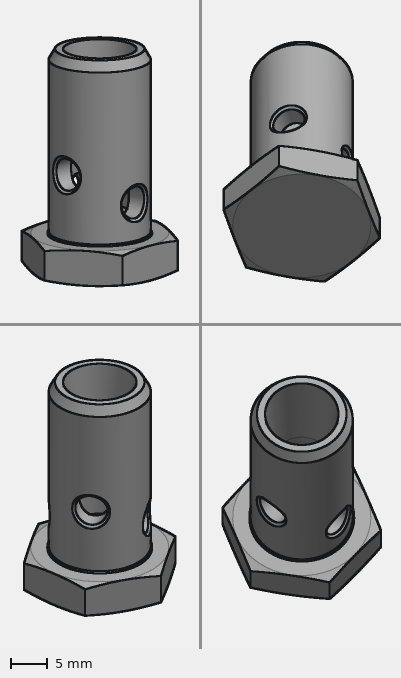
import cadquery as cq
import math

total_height = 31.0

across_flats = 19.0
across_corners = across_flats / math.cos(math.radians(30))
head_height = 5.0
head_chamfer_angle = 15.0
head_face_diameter = 18.85

shank_diameter = 13.95
tip_diameter = 12.2
tip_chamfer_height = 1.5
base_collar_diameter = 14.32
base_collar_height = 0.25

mouth_diameter = 10.0
bore_diameter = 8.0
taper_depth = 12.0
bore_floor_height = 8.0
drill_point_angle = 120.0

cross_hole_diameter = 4.5
cross_hole_chamfer = 0.4
x_hole_height = 10.5
y_hole_height = 14.5


def make_head():
    """Hexagon with corners on Y, both faces chamfered by a shallow cone."""
    hexagon = cq.Workplane("XY").polygon(6, across_corners).extrude(head_height)
    hexagon = hexagon.rotate((0, 0, 0), (0, 0, 1), 90)
    face_radius = head_face_diameter / 2
    rim_radius = across_corners / 2
    corner_drop = (rim_radius - face_radius) * math.tan(math.radians(head_chamfer_angle))
    envelope = (
        cq.Workplane("XZ")
        .moveTo(0, 0)
        .lineTo(face_radius, 0)
        .lineTo(rim_radius, corner_drop)
        .lineTo(rim_radius, head_height - corner_drop)
        .lineTo(face_radius, head_height)
        .lineTo(0, head_height)
        .close()
        .revolve(360, (0, 0), (0, 1))
    )
    return hexagon.intersect(envelope)


def make_shank():
    """Solid shank with a chamfered tip and a small conical collar at the head."""
    return (
        cq.Workplane("XZ")
        .moveTo(0, 0)
        .lineTo(base_collar_diameter / 2, 0)
        .lineTo(base_collar_diameter / 2, head_height)
        .lineTo(shank_diameter / 2, head_height + base_collar_height)
        .lineTo(shank_diameter / 2, total_height - tip_chamfer_height)
        .lineTo(tip_diameter / 2, total_height)
        .lineTo(0, total_height)
        .close()
        .revolve(360, (0, 0), (0, 1))
    )


def make_bore():
    """Tapered mouth leading into a blind bore with a drill point."""
    mouth_radius = mouth_diameter / 2
    bore_radius = bore_diameter / 2
    point_depth = bore_radius / math.tan(math.radians(drill_point_angle / 2))
    return (
        cq.Workplane("XZ")
        .moveTo(0, bore_floor_height - point_depth)
        .lineTo(bore_radius, bore_floor_height)
        .lineTo(bore_radius, total_height - taper_depth)
        .lineTo(mouth_radius, total_height)
        .lineTo(0, total_height)
        .close()
        .revolve(360, (0, 0), (0, 1))
    )


def cut_cross_hole(body, plane, height):
    """Cut a hole through the shank along the plane's normal and chamfer both its mouths."""
    hole = (
        cq.Workplane(plane)
        .center(0, height)
        .circle(cross_hole_diameter / 2)
        .extrude(shank_diameter, both=True)
    )
    hole_radius = cross_hole_diameter / 2
    drilled = body.cut(hole)
    mouth_edges = drilled.edges("not %LINE").filter(
        lambda edge: abs(edge.Center().z - height) < hole_radius / 2
    )
    return mouth_edges.chamfer(cross_hole_chamfer)


shank = make_shank()
shank = cut_cross_hole(shank, "YZ", x_hole_height)
shank = cut_cross_hole(shank, "XZ", y_hole_height)

result = make_head().union(shank).cut(make_bore())